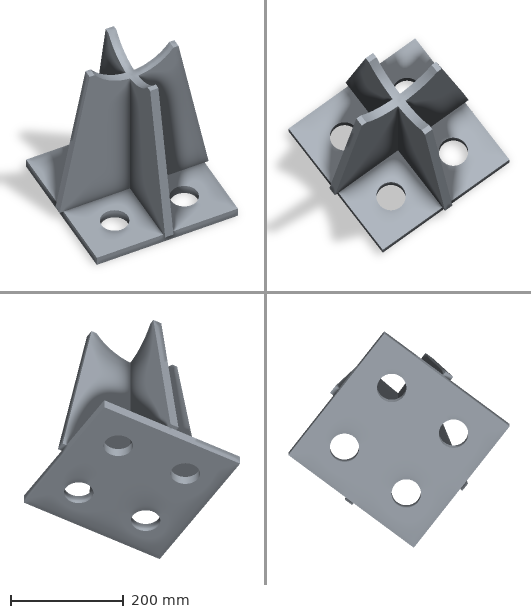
import cadquery as cq

plate_side = 280.0
plate_thickness = 17.5
hole_diameter = 52.0
hole_spacing = 138.0

total_height = 328.0
fin_thickness = 16.5
fin_bottom_width = 296.0
fin_top_width = 176.5

seat_width = 156.8
seat_depth = 39.5
seat_radius = ((seat_width / 2) ** 2 + seat_depth ** 2) / (2 * seat_depth)
seat_center_height = total_height - seat_depth + seat_radius


def make_plate():
    """Square plate resting on Z = 0 with four through holes."""
    return (
        cq.Workplane("XY")
        .rect(plate_side, plate_side)
        .extrude(plate_thickness)
        .faces(">Z")
        .workplane()
        .rect(hole_spacing, hole_spacing, forConstruction=True)
        .vertices()
        .hole(hole_diameter)
    )


def make_fin(plane):
    """Tapered fin standing on the plate, centred on the given vertical plane."""
    outline = [
        (-fin_bottom_width / 2, plate_thickness),
        (fin_bottom_width / 2, plate_thickness),
        (fin_top_width / 2, total_height),
        (-fin_top_width / 2, total_height),
    ]
    return cq.Workplane(plane).polyline(outline).close().extrude(fin_thickness / 2, both=True)


seat = cq.Workplane("XY").sphere(seat_radius).translate((0, 0, seat_center_height))
fins = make_fin("XZ").union(make_fin("YZ")).cut(seat)
result = make_plate().union(fins)